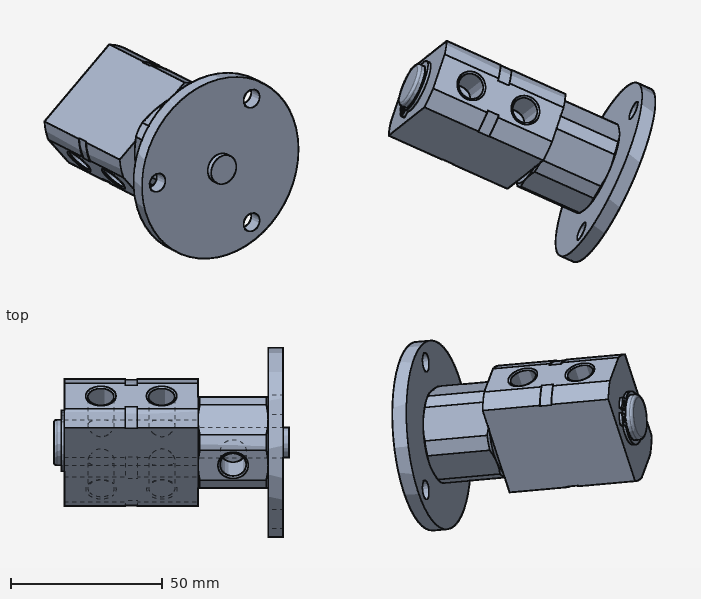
import cadquery as cq
import math


housing_start = 3.5
housing_length = 44.0
hex_length = 23.0
flange_thickness = 4.95
total_length = 77.5
hex_start = housing_start + housing_length
flange_start = hex_start + hex_length

housing_diameter = 42.0
housing_width = 40.0
housing_thickness = 25.0
housing_tilt = 40.0
band_width = 4.0
band_depth = 0.2
housing_port_pitch = 20.0

port_diameter = 8.6
port_mouth_diameter = 10.0
port_mouth_depth = 0.4

hex_across_flats = 30.0
hex_corner_diameter = 32.1
hex_chamfer_angle = 30.0
hex_port_depth = 9.5
hex_port_tilt = 30.0

flange_diameter = 62.5
bolt_circle_radius = 25.0
bolt_hole_diameter = 6.3
bolt_count = 3

shaft_diameter = 15.0
shaft_tail_diameter = 10.0
shaft_end_fillet = 1.0

ring_thickness = 1.0
ring_seat_diameter = 14.3
ring_outer_diameter = 17.7
ring_offset = 0.6
lug_radius = 10.7
lug_span = 9.3
lug_gap = 1.8
lug_corner_fillet = 1.0
lug_root_fillet = 0.24
lug_hole_diameter = 1.7
lug_hole_reach = 8.5
lug_hole_pitch = 5.5
ring_start = housing_start - ring_thickness


def rod(diameter, start, length):
    """Cylinder along +X from the given station."""
    return cq.Workplane("YZ").workplane(offset=start).circle(diameter / 2).extrude(length)


def bar(width, height, start, length):
    """Rectangular bar along +X, width along Y and height along Z."""
    return cq.Workplane("YZ").workplane(offset=start).rect(width, height).extrude(length)


def turn(body, angle):
    """Rotate a body about the X axis."""
    return body.rotate((0, 0, 0), (1, 0, 0), angle)


def port_cutter(station, face_distance, depth):
    """Port entering along -Z through a face at the given height, with a flared mouth."""
    port_radius = port_diameter / 2
    mouth_radius = port_mouth_diameter / 2
    bottom = face_distance - depth
    return (
        cq.Workplane("XZ")
        .moveTo(0, bottom)
        .lineTo(port_radius, bottom)
        .lineTo(port_radius, face_distance - port_mouth_depth)
        .lineTo(mouth_radius, face_distance)
        .lineTo(0, face_distance)
        .close()
        .revolve(360, (0, 0, 0), (0, 1, 0))
        .translate((station, 0, 0))
    )


def make_housing():
    middle = housing_start + housing_length / 2
    body = rod(housing_diameter, housing_start, housing_length).intersect(
        bar(housing_width, housing_thickness, housing_start, housing_length)
    )

    band_start = middle - band_width / 2
    band = rod(housing_diameter, band_start, band_width).cut(
        rod(housing_diameter - 2 * band_depth, band_start, band_width)
    )
    body = body.cut(band).cut(rod(shaft_diameter, housing_start, housing_length))

    face_distance = housing_width / 2
    for station in (middle - housing_port_pitch / 2, middle + housing_port_pitch / 2):
        for side_angle in (-90, 90):
            body = body.cut(turn(port_cutter(station, face_distance, face_distance), side_angle))
    return turn(body, housing_tilt)


def make_hex_block():
    corner_radius = hex_corner_diameter / 2
    end_radius = hex_across_flats / 2
    chamfer_length = (corner_radius - end_radius) * math.tan(math.radians(hex_chamfer_angle))

    prism = (
        cq.Workplane("YZ")
        .workplane(offset=hex_start)
        .polygon(6, hex_across_flats, circumscribed=True)
        .extrude(hex_length)
    )
    envelope = (
        rod(hex_corner_diameter, hex_start, hex_length)
        .edges()
        .chamfer(chamfer_length, corner_radius - end_radius)
    )
    port = port_cutter(hex_start + hex_length / 2, hex_across_flats / 2, hex_port_depth)
    return (
        prism.intersect(envelope)
        .cut(rod(shaft_tail_diameter, hex_start, hex_length))
        .cut(turn(port, hex_port_tilt))
    )


def make_flange():
    return (
        rod(flange_diameter, flange_start, flange_thickness)
        .cut(rod(shaft_tail_diameter, flange_start, flange_thickness))
        .faces("<X")
        .workplane(origin=(flange_start, 0, 0))
        .polarArray(bolt_circle_radius, 0, 360, bolt_count)
        .hole(bolt_hole_diameter)
    )


def make_shaft():
    head = rod(shaft_diameter, 0, hex_start).faces("<X").edges().fillet(shaft_end_fillet)
    groove = rod(shaft_diameter, ring_start, ring_thickness).cut(
        rod(ring_seat_diameter, ring_start, ring_thickness)
    )
    tail = rod(shaft_tail_diameter, hex_start, total_length - hex_start)
    return head.cut(groove).union(tail)


def fillet_lug_edges(body, reach, radius):
    """Round the two edges along X where the lug sides lie at the given reach along +Y."""
    middle = ring_start + ring_thickness / 2
    for side in (-1, 1):
        edge_point = (middle, reach, side * lug_span / 2)
        body = body.edges(cq.NearestToPointSelector(edge_point)).fillet(radius)
    return body


def make_retaining_ring():
    lugs = rod(2 * lug_radius, ring_start, ring_thickness).intersect(
        bar(lug_radius, lug_span, ring_start, ring_thickness).translate((0, lug_radius / 2, 0))
    )
    corner_reach = math.sqrt(lug_radius**2 - (lug_span / 2) ** 2)
    lugs = fillet_lug_edges(lugs, corner_reach, lug_corner_fillet)

    body = rod(ring_outer_diameter, ring_start, ring_thickness).translate((0, -ring_offset, 0))
    root_reach = math.sqrt((ring_outer_diameter / 2) ** 2 - (lug_span / 2) ** 2) - ring_offset
    ring = fillet_lug_edges(body.union(lugs), root_reach, lug_root_fillet)

    gap = bar(lug_radius, lug_gap, ring_start, ring_thickness).translate((0, lug_radius / 2, 0))
    ring = ring.cut(gap).cut(rod(ring_seat_diameter, ring_start, ring_thickness))
    for side in (-1, 1):
        lug_hole = rod(lug_hole_diameter, ring_start, ring_thickness)
        ring = ring.cut(lug_hole.translate((0, lug_hole_reach, side * lug_hole_pitch / 2)))
    return ring


housing = make_housing()
hex_block = make_hex_block()
flange = make_flange()
shaft = make_shaft()
retaining_ring = make_retaining_ring()

result = cq.Compound.makeCompound(
    [housing.val(), hex_block.val(), flange.val(), shaft.val(), retaining_ring.val()]
)